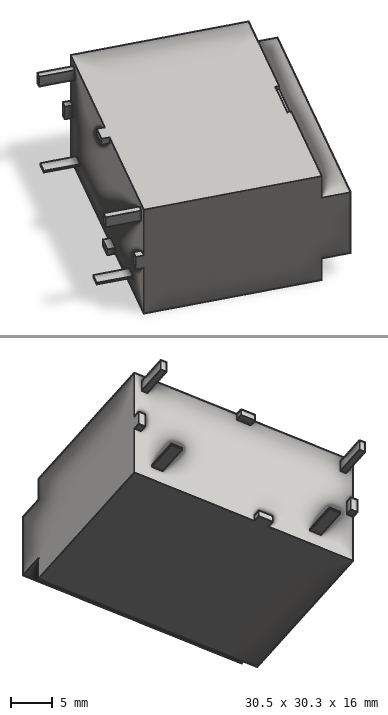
import cadquery as cq

WIDTH = 30.5
HEIGHT = 16.0
BODY_DEPTH = 22.17

REAR_DEPTH = 3.6
REAR_STEP = 3.32

RECESS_WIDTH = 5.0
RECESS_LENGTH = 0.5
RECESS_DEPTH = 0.5

FOOT_LENGTH = 1.95
FOOT_THICKNESS = 0.9
FOOT_PROJECTION = 1.0
LOWER_FOOT_X = 2.47

UPPER_PIN_WIDTH = 0.8
UPPER_PIN_HEIGHT = 1.52
UPPER_PIN_PROJECTION = 4.45
UPPER_PIN_X = 13.85
UPPER_PIN_Z = HEIGHT - 1.68

LOWER_PIN_WIDTH = 1.52
LOWER_PIN_HEIGHT = 0.27
LOWER_PIN_PROJECTION = 4.5
LOWER_PIN_Z = 2.17
LOWER_PIN_PITCH = 22.05
LOWER_PIN_MIDDLE_X = -1.05


def box(width, depth, height, x, y, z):
    """Box centred at x and z, growing from y towards +Y."""
    return cq.Workplane("XY").box(width, depth, height, centered=(True, False, True)).translate((x, y, z))


def projection(width, length, height, x, z):
    """Bar standing out of the pin face towards -Y."""
    return box(width, length, height, x, -length, z)


def housing():
    body = box(WIDTH, BODY_DEPTH, HEIGHT, 0, 0, HEIGHT / 2)
    rear = box(WIDTH, REAR_DEPTH, HEIGHT - 2 * REAR_STEP, 0, BODY_DEPTH, HEIGHT / 2)
    recess = box(
        RECESS_WIDTH, RECESS_LENGTH, RECESS_DEPTH,
        0, BODY_DEPTH - RECESS_LENGTH, HEIGHT - RECESS_DEPTH / 2,
    )
    return body.union(rear).cut(recess)


def feet():
    side_x = (WIDTH - FOOT_THICKNESS) / 2
    upper_z = HEIGHT - FOOT_THICKNESS / 2
    parts = [
        projection(FOOT_LENGTH, FOOT_PROJECTION, FOOT_THICKNESS, 0, upper_z),
        projection(FOOT_LENGTH, FOOT_PROJECTION, FOOT_THICKNESS, LOWER_FOOT_X, FOOT_THICKNESS / 2),
    ]
    for x in (-side_x, side_x):
        parts.append(projection(FOOT_THICKNESS, FOOT_PROJECTION, FOOT_LENGTH, x, HEIGHT / 2))
    return parts


def pins():
    parts = []
    for side in (-1, 1):
        upper_x = side * UPPER_PIN_X
        lower_x = LOWER_PIN_MIDDLE_X + side * LOWER_PIN_PITCH / 2
        parts.append(
            projection(UPPER_PIN_WIDTH, UPPER_PIN_PROJECTION, UPPER_PIN_HEIGHT, upper_x, UPPER_PIN_Z)
        )
        parts.append(
            projection(LOWER_PIN_WIDTH, LOWER_PIN_PROJECTION, LOWER_PIN_HEIGHT, lower_x, LOWER_PIN_Z)
        )
    return parts


result = housing()
for part in feet() + pins():
    result = result.union(part)